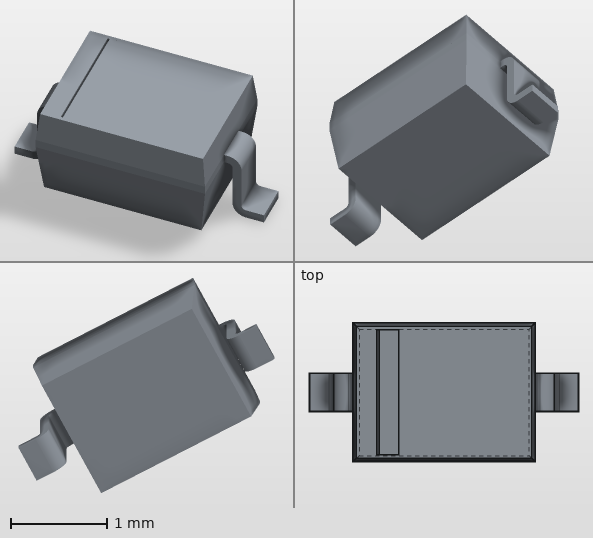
import cadquery as cq

span = 2.8
sheet = 0.1
lead_width = 0.4
body_length = 1.9
body_width = 1.45
body_bottom = sheet
top_z = 1.15
band_bottom = 0.7
band_top = band_bottom + sheet
top_inset = 0.035
bottom_inset = 0.067

inner_radius = 0.05
outer_radius = inner_radius + sheet
riser_outer_x = 1.148
riser_inner_x = riser_outer_x - sheet

slot_end_x = -0.473
slot_width = 0.227
bar_width = 0.202
bar_length = 1.295
slot_depth = 0.05

edge_pick_margin = 0.003


def drafted_block(start_z, end_z, inset):
    """Half of the moulding: full size at start_z, smaller by inset per side at end_z."""
    return (
        cq.Workplane("XY").workplane(offset=start_z)
        .rect(body_length, body_width)
        .workplane(offset=end_z - start_z)
        .rect(body_length - 2 * inset, body_width - 2 * inset)
        .loft(ruled=True)
    )


def bar_block(width):
    """Block of the given width ending at the slot's +X wall, sunk to the slot depth."""
    return (
        cq.Workplane("XY")
        .box(width, bar_length, slot_depth)
        .translate((slot_end_x - width / 2, 0, top_z - slot_depth / 2))
    )


def bent_lead():
    """Gull-wing lead on the +X side, ending against the parting band."""
    profile = (
        cq.Workplane("XZ")
        .moveTo(body_length / 2, band_bottom)
        .lineTo(riser_inner_x, band_bottom)
        .lineTo(riser_inner_x, 0)
        .lineTo(span / 2, 0)
        .lineTo(span / 2, sheet)
        .lineTo(riser_outer_x, sheet)
        .lineTo(riser_outer_x, band_top)
        .lineTo(body_length / 2, band_top)
        .close()
        .extrude(lead_width / 2, both=True)
    )

    bends = [
        (riser_inner_x, band_bottom, inner_radius),
        (riser_inner_x, 0, outer_radius),
        (riser_outer_x, sheet, inner_radius),
        (riser_outer_x, band_top, outer_radius),
    ]
    lead = profile
    for x, z, radius in bends:
        corner = cq.selectors.BoxSelector(
            (x - edge_pick_margin, -lead_width, z - edge_pick_margin),
            (x + edge_pick_margin, lead_width, z + edge_pick_margin),
        )
        lead = lead.edges(corner).fillet(radius)
    return lead


lower_half = drafted_block(band_bottom, body_bottom, bottom_inset)
parting_band = (
    cq.Workplane("XY").workplane(offset=band_bottom).rect(body_length, body_width).extrude(sheet)
)
upper_half = drafted_block(band_top, top_z, top_inset).cut(bar_block(slot_width))
polarity_bar = bar_block(bar_width)
leads = [bent_lead().rotate((0, 0, 0), (0, 0, 1), angle) for angle in (0, 180)]

result = cq.Compound.makeCompound(
    [
        lower_half.val(),
        parting_band.val(),
        upper_half.val(),
        polarity_bar.val(),
        *[lead.val() for lead in leads],
    ]
)